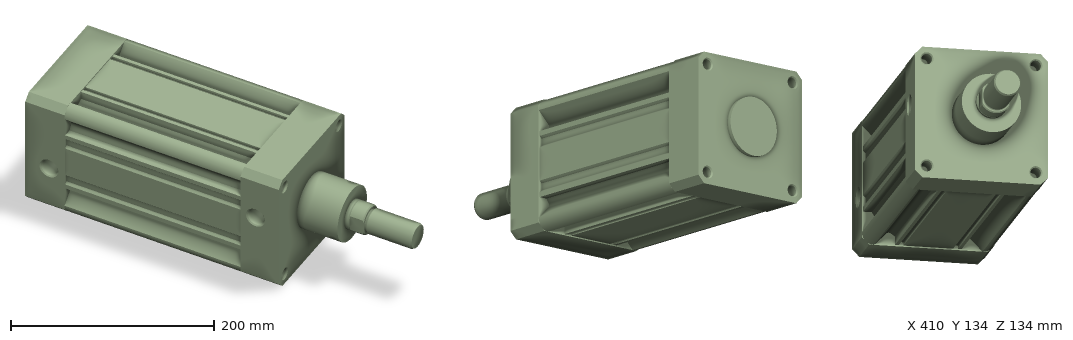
import cadquery as cq
import math


body_width = 134.0
half_width = body_width / 2
cap_chamfer = 7.5
rear_cap_length = 44.3
front_cap_length = 43.0

spigot_radius = 30.0
rear_spigot_length = 5.5
front_spigot_length = 45.5

port_radius = 9.5
port_chamfer = 1.2
port_depth = 20.5
port_offset_z = 14.5
rear_port_setback = 26.5
front_port_setback = 26.2

mount_offset = 55.0
mount_radius = 5.5
mount_chamfer = 1.2
mount_depth = 20.5

barrel_length = 198.0
corner_radius = 12.5
pad_half_width = 33.5
pad_recess = 1.2
valley_slope_start = 42.2
valley_arc_radius = 3.3
valley_ramp_angle = 33

slot_inner = 17.0
slot_outer = 28.5
slot_depth = 2.5

groove_inner = 25.0
groove_outer = 30.0
groove_depth = 3.3

collar_radius = 16.0
collar_length = 20.5
flat_half_width = 13.5
flange_length = 5.0
flange_chamfer = 1.2
collar_chamfer = 1.2
neck_radius = 12.5
neck_length = 1.2
thread_radius = 13.5
thread_lead_in = 2.0
tip_chamfer_length = 2.5
tip_chamfer_depth = 1.2

total_length = 410.0
rear_cap_x = rear_spigot_length
barrel_x = rear_cap_x + rear_cap_length
front_cap_x = barrel_x + barrel_length
front_face_x = front_cap_x + front_cap_length
rod_x = front_face_x + front_spigot_length


def cylinder_along_x(x_start, length, radius):
    return cq.Workplane("YZ", origin=(x_start, 0, 0)).circle(radius).extrude(length)


def chamfered_hole(center, direction, radius, chamfer, depth):
    """Cutter for a blind hole that enters at center and has a 45 degree chamfer at its mouth."""
    axis = cq.Vector(*direction)
    bore = cq.Solid.makeCylinder(radius, depth, cq.Vector(*center), axis)
    mouth = cq.Solid.makeCone(radius + chamfer, radius, chamfer, cq.Vector(*center), axis)
    return cq.Workplane(bore.fuse(mouth))


def make_cap(x_start, length, outer_face_x, inward, port_x, port_z):
    """Chamfered square block with four corner holes in its outer face and a port in its -Y side."""
    cap = (
        cq.Workplane("YZ", origin=(x_start, 0, 0))
        .rect(body_width, body_width)
        .extrude(length)
        .edges("|X")
        .chamfer(cap_chamfer)
    )
    for y_sign in (-1, 1):
        for z_sign in (-1, 1):
            center = (outer_face_x, y_sign * mount_offset, z_sign * mount_offset)
            cap = cap.cut(chamfered_hole(center, (inward, 0, 0), mount_radius, mount_chamfer, mount_depth))
    port = chamfered_hole((port_x, -half_width, port_z), (0, 1, 0), port_radius, port_chamfer, port_depth)
    return cap.cut(port)


def make_rear_cap():
    port_x = rear_cap_x + rear_port_setback
    cap = make_cap(rear_cap_x, rear_cap_length, rear_cap_x, 1, port_x, -port_offset_z)
    return cap.union(cylinder_along_x(0, rear_cap_x + rear_cap_length / 2, spigot_radius))


def make_front_cap():
    port_x = front_face_x - front_port_setback
    cap = make_cap(front_cap_x, front_cap_length, front_face_x, -1, port_x, port_offset_z)
    spigot_x = front_face_x - front_cap_length / 2
    return cap.union(cylinder_along_x(spigot_x, rod_x - spigot_x, spigot_radius))


def barrel_section():
    return cq.Workplane("YZ", origin=(barrel_x, 0, 0))


def valley_cutter():
    """Valley beside a pad on the +Z side: pad wall, ramp, round floor, then a 45 degree slope."""
    bead_start = half_width - corner_radius
    floor_end = half_width - (bead_start - valley_slope_start)
    ramp = math.radians(valley_ramp_angle)
    diagonal = valley_arc_radius * math.sqrt(0.5)
    arc_y = valley_slope_start - diagonal
    arc_z = floor_end + diagonal
    ramp_end = (arc_y - valley_arc_radius * math.sin(ramp), arc_z - valley_arc_radius * math.cos(ramp))
    ramp_start = (pad_half_width, ramp_end[1] + (ramp_end[0] - pad_half_width) * math.tan(ramp))
    return (
        barrel_section()
        .moveTo(bead_start, half_width)
        .lineTo(valley_slope_start, floor_end)
        .threePointArc((arc_y, arc_z - valley_arc_radius), ramp_end)
        .lineTo(*ramp_start)
        .lineTo(pad_half_width, half_width)
        .close()
        .extrude(barrel_length)
    )


def slot_cutter():
    """Shallow slot with sloping walls, cut into a pad on the +Z side."""
    surface = half_width - pad_recess
    floor = surface - slot_depth
    outline = [
        (slot_inner, surface),
        (slot_inner + slot_depth, floor),
        (slot_outer - slot_depth, floor),
        (slot_outer, surface),
    ]
    return barrel_section().polyline(outline).close().extrude(barrel_length)


def groove_cutter():
    """Narrow square groove, cut into a pad on the +Z side."""
    surface = half_width - pad_recess
    outline = [
        (groove_inner, surface),
        (groove_inner, surface - groove_depth),
        (groove_outer, surface - groove_depth),
        (groove_outer, surface),
    ]
    return barrel_section().polyline(outline).close().extrude(barrel_length)


def pad_facing_cutter():
    """Slab that lowers a pad on the +Z side to its surface."""
    return (
        barrel_section()
        .center(0, half_width - pad_recess / 2)
        .rect(2 * pad_half_width, pad_recess)
        .extrude(barrel_length)
    )


def make_barrel():
    barrel = (
        barrel_section()
        .rect(body_width, body_width)
        .extrude(barrel_length)
        .edges("|X")
        .fillet(corner_radius)
    )
    for angle in (0, 90, 180, 270):
        recess = groove_cutter() if angle in (0, 180) else slot_cutter()
        for cutter in (valley_cutter(), recess):
            for side in (cutter, cutter.mirror("XZ")):
                barrel = barrel.cut(side.rotate((0, 0, 0), (1, 0, 0), angle))
        barrel = barrel.cut(pad_facing_cutter().rotate((0, 0, 0), (1, 0, 0), angle))
    return barrel


def flat_cutter():
    """Cutter for the wrench flat on the +Y side of the collar."""
    return cq.Workplane("XY").box(
        collar_length - flange_length,
        collar_radius,
        2 * collar_radius,
        centered=(False, False, True),
    ).translate((rod_x + flange_length, flat_half_width, 0))


def make_rod():
    """Turned rod: flange, wrench collar, neck and thread, with two wrench flats on the collar."""
    flange_end_x = rod_x + flange_length
    neck_x = rod_x + collar_length
    lead_in_x = neck_x + neck_length
    outline = [
        (rod_x, 0),
        (rod_x, collar_radius),
        (flange_end_x - flange_chamfer, collar_radius),
        (flange_end_x, collar_radius - flange_chamfer),
        (flange_end_x, collar_radius),
        (neck_x - collar_chamfer, collar_radius),
        (neck_x, collar_radius - collar_chamfer),
        (neck_x, neck_radius),
        (lead_in_x, neck_radius),
        (lead_in_x + thread_lead_in, thread_radius),
        (total_length - tip_chamfer_length, thread_radius),
        (total_length, thread_radius - tip_chamfer_depth),
        (total_length, 0),
    ]
    rod = cq.Workplane("XY").polyline(outline).close().revolve(360, (0, 0, 0), (1, 0, 0))
    flat = flat_cutter()
    return rod.cut(flat).cut(flat.mirror("XZ"))


rear_cap = make_rear_cap()
barrel = make_barrel()
front_cap = make_front_cap()
rod = make_rod()

result = cq.Compound.makeCompound([rear_cap.val(), barrel.val(), front_cap.val(), rod.val()])